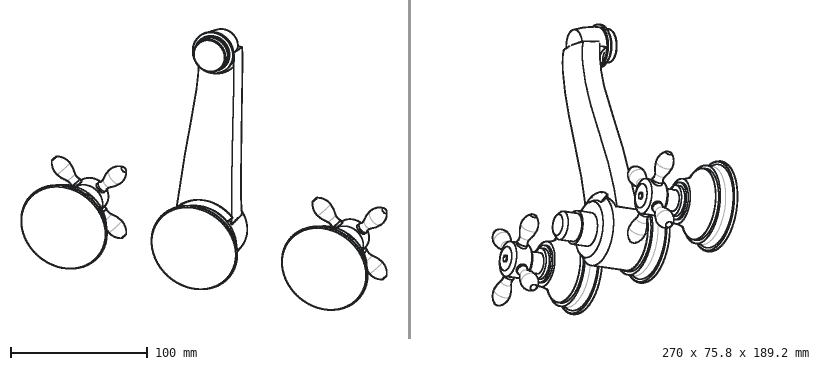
import cadquery as cq
import math

overall_width = 270

rim_radius = 33.5
rim_thickness = 2.7
rim_bulge_height = 1.3
rim_edge_radius = 32.7
flare_bottom_radius = 30.8
flare_middle = (29.5, 5.7)
collar_radius = 29.0
collar_bottom = 8.0
collar_top = 12.5
shoulder_radius = 26.5
shoulder_top = 14.8

handle_spacing = overall_width / 2 - rim_radius
bell_foot_radius = 26.2
bell_waist = (19.5, 21.5)
bell_top = 30.8
bell_top_radius = 16.7
upper_step_radius = 13.8
upper_step_top = 32.5
seat_radius = 11.3
seat_top = 35.0
stem_radius = 7.8
stem_top = 45.5
hub_radius = 13.0
hub_bottom = 48.0
hub_underside_middle = (11.3, 46.5)
hub_top = 60.7
hub_crown_radius = 9.0
hub_crown_top = 62.5
button_radius = 2.5
button_top = 63.5

arm_count = 4
arm_height = 54.5
arm_root = 5.5
arm_neck_radius = 4.0
arm_neck_start = 14.5
arm_waist = (3.5, 17.5)
knob_start = 20.0
knob_shoulder = (5.7, 24.0)
knob_radius = 6.5
knob_widest = 28.5
knob_tip_shoulder = (5.0, 34.8)
knob_tip_radius = 2.5
knob_end = 38.3

body_radius = 26.0
body_top = 43.5
crown_middle = (22.5, 46.1)
crown_radius = 20.8
crown_top = 49.5
stud_collar_radius = 12.5
stud_collar_top = 61.5
stud_radius = 10.5
stud_shoulder = 73.0
stud_end = 75.8
stud_end_radius = 7.8

arm_stations = [
    ((41.5, 13.5), (17.8, 13.5), 23.2),
    ((44.8, 35.0), (23.2, 35.0), 21.3),
    ((54.0, 68.8), (32.7, 73.0), 18.4),
    ((62.5, 100.7), (42.5, 105.3), 15.7),
    ((65.9, 123.0), (45.3, 123.0), 14.8),
    ((65.0, 137.0), (46.0, 139.5), 14.8),
]
side_inset = 1.0
crown_height = 2.5

front_root_fillet = ((25.6, 16.0), (26.7, 19.5), (29.1, 21.9), (24.8, 23.7), 50)
back_root_fillet = ((21.5, 47.0), (24.8, 45.3), (28.5, 43.2), (23.7, 41.8), 35)

head_tilt = 7.3
ring_centre = (41.3, 140.0)
head_back = -24.0
head_back_middle = (6.7, -23.0)
head_back_radius = 12.0
head_back_edge = -20.8
head_middle = (13.5, -12.1)
head_front_radius = 13.8
ring_radius = 15.7
ring_half_thickness = 1.0
outlet_collar_radius = 13.2
outlet_collar_end = 3.2
outlet_radius = 12.5
outlet_shoulder = 7.5
outlet_end_radius = 12.0
outlet_end = 8.5

throat_half_width = 13.5
throat_middle = ((45.5, 119.8), (43.5, 124.1), (40.0, 126.0), (51.3, 132.2))
throat_side = ((48.0, 124.1), (46.5, 131.7), (41.5, 135.7), (51.3, 136.3))


def flange_outline():
    """Half section of the wall flange up to its shoulder, drawn in XY with the axis along Y."""
    return (
        cq.Workplane("XY")
        .lineTo(rim_edge_radius, 0)
        .threePointArc((rim_radius, rim_bulge_height), (rim_edge_radius, rim_thickness))
        .lineTo(flare_bottom_radius, rim_thickness)
        .threePointArc(flare_middle, (collar_radius, collar_bottom))
        .lineTo(collar_radius, collar_top)
        .lineTo(shoulder_radius, collar_top)
        .lineTo(shoulder_radius, shoulder_top)
    )


def turn(outline):
    """Close a half section on the Y axis and revolve it."""
    return outline.close().revolve(360, (0, 0, 0), (0, 1, 0))


def handle_core():
    """Flange, bell, stem and hub of a handle, turned about its axis."""
    return turn(
        flange_outline()
        .lineTo(bell_foot_radius, shoulder_top)
        .threePointArc(bell_waist, (bell_top_radius, bell_top))
        .lineTo(upper_step_radius, bell_top)
        .lineTo(upper_step_radius, upper_step_top)
        .lineTo(seat_radius, upper_step_top)
        .lineTo(seat_radius, seat_top)
        .lineTo(stem_radius, seat_top)
        .lineTo(stem_radius, stem_top)
        .threePointArc(hub_underside_middle, (hub_radius, hub_bottom))
        .lineTo(hub_radius, hub_top)
        .lineTo(hub_crown_radius, hub_crown_top)
        .lineTo(button_radius, hub_crown_top)
        .lineTo(button_radius, button_top)
        .lineTo(0, button_top)
    )


def cross_arm():
    """One egg-ended arm lying along +Y, rooted inside the hub."""
    return turn(
        cq.Workplane("XY")
        .moveTo(0, arm_root)
        .lineTo(arm_neck_radius, arm_root)
        .lineTo(arm_neck_radius, arm_neck_start)
        .threePointArc(arm_waist, (arm_neck_radius, knob_start))
        .threePointArc(knob_shoulder, (knob_radius, knob_widest))
        .threePointArc(knob_tip_shoulder, (knob_tip_radius, knob_end))
        .lineTo(0, knob_end)
    )


def handle(x):
    """A whole handle with its cross arms, as one solid at the given x."""
    body = handle_core()
    for index in range(arm_count):
        angle = 360 / arm_count * (index + 0.5)
        arm = cross_arm().rotate((0, 0, 0), (1, 0, 0), 90)
        arm = arm.rotate((0, 0, 0), (0, 1, 0), angle).translate((0, arm_height, 0))
        body = body.union(arm)
    return body.translate((x, 0, 0))


def spout_body():
    """Flange, barrel, crown and rear stud of the spout."""
    return turn(
        flange_outline()
        .lineTo(body_radius, shoulder_top)
        .lineTo(body_radius, body_top)
        .threePointArc(crown_middle, (crown_radius, crown_top))
        .lineTo(stud_collar_radius, crown_top)
        .lineTo(stud_collar_radius, stud_collar_top)
        .lineTo(stud_radius, stud_collar_top)
        .lineTo(stud_radius, stud_shoulder)
        .lineTo(stud_end_radius, stud_end)
        .lineTo(0, stud_end)
    )


def station_wire(back, front, half_width):
    """Closed section with flat sides and arched front and back faces."""
    depth = math.dist(back, front)
    across = cq.Vector(0, back[0] - front[0], back[1] - front[1]).normalized()
    normal = cq.Vector(1, 0, 0).cross(across)
    plane = cq.Plane(cq.Vector(0, *front), cq.Vector(1, 0, 0), normal)
    front_half_width = half_width - side_inset
    return (
        cq.Workplane(plane)
        .moveTo(-front_half_width, crown_height)
        .threePointArc((0, 0), (front_half_width, crown_height))
        .lineTo(half_width, depth - crown_height)
        .threePointArc((0, depth), (-half_width, depth - crown_height))
        .close()
        .val()
    )


def spout_arm():
    """Tapered arm lofted smoothly through its stations."""
    wires = [station_wire(*station) for station in arm_stations]
    return cq.Workplane(cq.Solid.makeLoft(wires))


def spout_head():
    """Rounded head, drip ring and outlet; the turning axis runs from back to outlet."""
    outline = (
        cq.Workplane("XY")
        .moveTo(0, head_back)
        .threePointArc(head_back_middle, (head_back_radius, head_back_edge))
        .threePointArc(head_middle, (head_front_radius, -ring_half_thickness))
        .lineTo(ring_radius, -ring_half_thickness)
        .lineTo(ring_radius, ring_half_thickness)
        .lineTo(outlet_collar_radius, ring_half_thickness)
        .lineTo(outlet_collar_radius, outlet_collar_end)
        .lineTo(outlet_radius, outlet_collar_end)
        .lineTo(outlet_radius, outlet_shoulder)
        .lineTo(outlet_end_radius, outlet_end)
        .lineTo(0, outlet_end)
    )
    head = turn(outline).rotate((0, 0, 0), (1, 0, 0), 180 - head_tilt)
    return head.translate((0, *ring_centre))


def throat_wire(x, profile):
    """Closed side section of the throat in the plane at the given x."""
    foot, middle, ring_end, inner = profile
    plane = cq.Plane((x, 0, 0), (0, 1, 0), (1, 0, 0))
    return cq.Workplane(plane).moveTo(*foot).threePointArc(middle, ring_end).lineTo(*inner).close().val()


def spout_throat():
    """Concave blend from the front of the arm to the drip ring."""
    wires = [
        throat_wire(-throat_half_width, throat_side),
        throat_wire(0, throat_middle),
        throat_wire(throat_half_width, throat_side),
    ]
    return cq.Workplane(cq.Solid.makeLoft(wires))


def root_fillet(hub_end, arc_middle, arm_end, corner, half_angle):
    """Concave ring sector between the spout body and a face of the arm, centred on +Z."""
    sector = (
        cq.Workplane("XY")
        .moveTo(*hub_end)
        .threePointArc(arc_middle, arm_end)
        .lineTo(*corner)
        .close()
        .revolve(2 * half_angle, (0, 0, 0), (0, 1, 0))
    )
    return sector.rotate((0, 0, 0), (0, 1, 0), -90 - half_angle)


spout = spout_body().union(spout_arm()).union(spout_head()).union(spout_throat())
for fillet in (front_root_fillet, back_root_fillet):
    spout = spout.union(root_fillet(*fillet))
handles = [handle(side * handle_spacing) for side in (-1, 1)]

result = cq.Compound.makeCompound([spout.solids().val(), *[item.solids().val() for item in handles]])